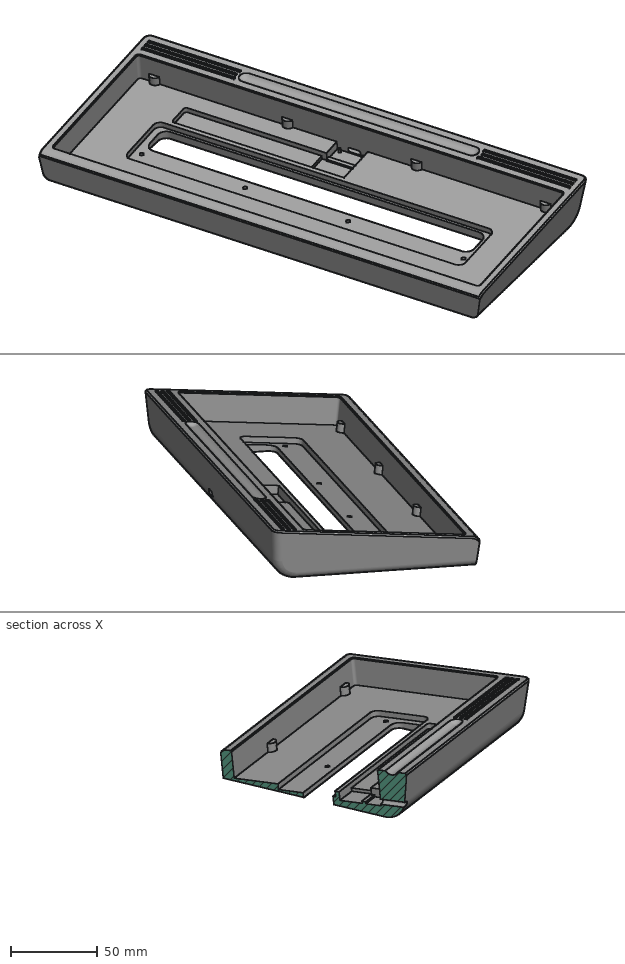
import cadquery as cq
import math

OVERALL_WIDTH = 297.5
OVERALL_LENGTH = 123.5
OVERALL_HEIGHT = 31.2
TILT = math.radians(6)
WALL_TAPER = math.radians(10)
BLANK_DEPTH = 41.7

CORNER_RADIUS = 4.8
HEEL_RADIUS = 13.5
FRONT_ROUND_LENGTH = 4.8
FRONT_ROUND_DROP = 1.93
RIM_CHAMFER = 1.05
FRONT_CHAMFER = 0.5

CHAMFER_INSET = RIM_CHAMFER * math.tan(WALL_TAPER)
RIM_WIDTH = OVERALL_WIDTH + 2 * CHAMFER_INSET
FRONT_LEAN = (FRONT_ROUND_DROP + FRONT_CHAMFER) * math.sin(TILT)
BACK_LEAN = RIM_CHAMFER * math.sin(TILT)
RIM_LENGTH = (OVERALL_LENGTH + FRONT_LEAN - BACK_LEAN) / math.cos(TILT) + CHAMFER_INSET
FRONT_HEIGHT = OVERALL_HEIGHT - (RIM_LENGTH - RIM_CHAMFER) * math.sin(TILT)

CAVITY_DEPTH = 17.3
CAVITY_HALF_WIDTH = 143.5
CAVITY_FRONT = 7.7
CAVITY_BACK = 104.7
CAVITY_RADIUS = 1.8
MOUTH_CHAMFER = 0.5

POST_RADIUS = 3.5
POST_HEIGHT = 5.5
POST_SETBACK = 1.0
FRONT_POST_XS = (-130.3, -43.5, 43.5, 130.3)
BACK_POST_XS = (-133.0, -43.5, 43.5, 130.3)

RECESS_DEPTH = 3.5
RECESS_HALF_WIDTH = 113.7
RECESS_FRONT = 37.0
RECESS_BACK = 74.7
RECESS_RADIUS = 4.5
WINDOW_HALF_WIDTH = 109.2
WINDOW_FRONT = 53.3
WINDOW_BACK = 73.0
WINDOW_RADIUS = 5.5
SCREW_DIAMETER = 2.53
SCREW_XS = (-108.3, -38.7, 30.5, 108.3)
SCREW_V = 47.5

POCKET_LEFT = -105.5
POCKET_RIGHT = 10.5
POCKET_FRONT = 77.7
POCKET_BACK = 92.8
POCKET_DEPTH = 3.3
POCKET_RADIUS = 1.8
DEEP_LEFT = -13.7
DEEP_DEPTH = 5.5
PASSAGE_HALF_WIDTH = 10.5
RIDGE_FRONT = 92.2
RIDGE_BACK = 95.0
RIDGE_HEIGHT = 1.2
PIN_DIAMETER = 1.65
PIN_HEIGHT = 2.5
PIN_X = 7.7
PIN_V = 103.0
PORT_X = 1.2
PORT_WIDTH = 8.3
PORT_HEIGHT = 3.0
PORT_LIFT = 1.0

PEN_V = 114.2
PEN_RADIUS = 5.0
PEN_HALF_WIDTH = 4.2
PEN_CHAMFER = 0.5
PEN_HALF_LENGTH = 80.3
SIDE_GROOVE_OUTER_X = 144.0
SIDE_GROOVE_INNER_X = 81.8
SIDE_GROOVE_MIDDLE_GAP = 1.0
SIDE_GROOVE_WIDTH = 1.8
SIDE_GROOVE_PITCH = 3.5
SIDE_GROOVE_DEPTH = 1.0


def to_part(solid):
    """Move a solid from rim coordinates to the part's axes."""
    return solid.rotate((0, 0, 0), (1, 0, 0), math.degrees(TILT)).translate((0, 0, FRONT_HEIGHT))


def pocket(x_min, x_max, v_min, v_max, top, depth, radius=0.0):
    """Box with rounded upright edges, reaching down from w = top."""
    block = cq.Workplane("XY").box(x_max - x_min, v_max - v_min, depth, centered=False)
    if radius > 0:
        block = block.edges("|Z").fillet(radius)
    return block.translate((x_min, v_min, top - depth))


def make_shell():
    """Outer body: tapered at the sides and back, square to the rim at the front."""
    inset = BLANK_DEPTH * math.tan(WALL_TAPER)
    half = RIM_WIDTH / 2
    front_outline = (
        cq.Workplane("XZ")
        .polyline([(-half, 0), (half, 0), (half - inset, -BLANK_DEPTH), (inset - half, -BLANK_DEPTH)])
        .close()
        .extrude(-RIM_LENGTH)
    )
    front_round_radius = (FRONT_ROUND_LENGTH**2 + FRONT_ROUND_DROP**2) / (2 * FRONT_ROUND_DROP)
    side_outline = (
        cq.Workplane("YZ")
        .moveTo(0, -BLANK_DEPTH)
        .lineTo(0, -FRONT_ROUND_DROP)
        .radiusArc((FRONT_ROUND_LENGTH, 0), front_round_radius)
        .lineTo(RIM_LENGTH, 0)
        .lineTo(RIM_LENGTH - inset, -BLANK_DEPTH)
        .close()
        .extrude(half, both=True)
    )
    above_ground = cq.Workplane("XY").box(
        2 * RIM_WIDTH, 3 * RIM_LENGTH, 2 * OVERALL_HEIGHT, centered=(True, True, False)
    )
    body = to_part(front_outline.intersect(side_outline)).intersect(above_ground)

    body = body.faces("<Z").edges(">Y").fillet(HEEL_RADIUS)
    back_corners = cq.selectors.BoxSelector(
        (-RIM_WIDTH, CAVITY_BACK, RIM_CHAMFER), (RIM_WIDTH, 2 * RIM_LENGTH, OVERALL_HEIGHT)
    )
    body = body.edges(back_corners).edges("not |X").fillet(CORNER_RADIUS)

    rim_normal = cq.Vector(0, -math.sin(TILT), math.cos(TILT))
    rim = body.faces(cq.selectors.DirectionMinMaxSelector(rim_normal))
    body = rim.edges("not(|X and <Y)").chamfer(RIM_CHAMFER)
    front_edge = cq.selectors.NearestToPointSelector((0, 0, FRONT_HEIGHT - FRONT_ROUND_DROP))
    body = body.edges(front_edge).chamfer(FRONT_CHAMFER)
    return body


def make_cavity():
    """Cavity with a small chamfer around its mouth and posts left standing on its floor."""
    cavity = pocket(
        -CAVITY_HALF_WIDTH, CAVITY_HALF_WIDTH, CAVITY_FRONT, CAVITY_BACK, 0, CAVITY_DEPTH, CAVITY_RADIUS
    )
    mouth = (
        cq.Workplane("XY")
        .center(0, (CAVITY_FRONT + CAVITY_BACK) / 2)
        .sketch()
        .rect(2 * (CAVITY_HALF_WIDTH + MOUTH_CHAMFER), CAVITY_BACK - CAVITY_FRONT + 2 * MOUTH_CHAMFER)
        .vertices()
        .fillet(CAVITY_RADIUS + MOUTH_CHAMFER)
        .finalize()
        .extrude(-2 * MOUTH_CHAMFER, taper=45)
    )
    cavity = cavity.union(mouth)
    spots = [(x, CAVITY_FRONT) for x in FRONT_POST_XS]
    spots += [(x, CAVITY_BACK + POST_SETBACK) for x in BACK_POST_XS]
    posts = (
        cq.Workplane("XY")
        .workplane(offset=-CAVITY_DEPTH)
        .pushPoints(spots)
        .circle(POST_RADIUS)
        .extrude(POST_HEIGHT)
    )
    return cavity.cut(posts)


def make_window():
    """Window through the floor, inside a shallow recess with screw holes through it."""
    floor = -CAVITY_DEPTH
    recess = pocket(
        -RECESS_HALF_WIDTH, RECESS_HALF_WIDTH, RECESS_FRONT, RECESS_BACK, floor, RECESS_DEPTH, RECESS_RADIUS
    )
    window = pocket(
        -WINDOW_HALF_WIDTH, WINDOW_HALF_WIDTH, WINDOW_FRONT, WINDOW_BACK, floor, BLANK_DEPTH, WINDOW_RADIUS
    )
    screws = (
        cq.Workplane("XY")
        .workplane(offset=floor - RECESS_DEPTH)
        .pushPoints([(x, SCREW_V) for x in SCREW_XS])
        .circle(SCREW_DIAMETER / 2)
        .extrude(-BLANK_DEPTH)
    )
    return recess.union(window).union(screws)


def make_cable_pocket():
    """Stepped pocket in the floor, leading over a low ridge to a port through the back wall."""
    floor = -CAVITY_DEPTH
    shallow = pocket(
        POCKET_LEFT, POCKET_RIGHT, POCKET_FRONT, POCKET_BACK, floor, POCKET_DEPTH, POCKET_RADIUS
    )
    deep = pocket(DEEP_LEFT, POCKET_RIGHT, POCKET_FRONT, POCKET_BACK, floor, DEEP_DEPTH)
    passage = pocket(
        -PASSAGE_HALF_WIDTH, PASSAGE_HALF_WIDTH, POCKET_BACK, CAVITY_BACK, floor, DEEP_DEPTH
    )
    ridge = pocket(
        -PASSAGE_HALF_WIDTH,
        PASSAGE_HALF_WIDTH,
        RIDGE_FRONT,
        RIDGE_BACK,
        floor - DEEP_DEPTH + RIDGE_HEIGHT,
        RIDGE_HEIGHT,
    )
    pins = (
        cq.Workplane("XY")
        .workplane(offset=floor - DEEP_DEPTH)
        .pushPoints([(-PIN_X, PIN_V), (PIN_X, PIN_V)])
        .circle(PIN_DIAMETER / 2)
        .extrude(PIN_HEIGHT)
    )
    port = (
        cq.Workplane("XZ", origin=(PORT_X, CAVITY_BACK, floor - DEEP_DEPTH + PORT_LIFT + PORT_HEIGHT / 2))
        .slot2D(PORT_WIDTH, PORT_HEIGHT)
        .extrude(-RIM_LENGTH)
    )
    return shallow.union(deep).union(passage).cut(pins).cut(ridge).union(port)


def make_pen_groove():
    """Shallow round-ended trough, with a chamfer around its mouth."""
    straight = PEN_HALF_LENGTH - PEN_HALF_WIDTH
    trough_half_width = PEN_HALF_WIDTH - PEN_CHAMFER
    axis_height = math.sqrt(PEN_RADIUS**2 - trough_half_width**2)
    trough = cq.Workplane("YZ").center(PEN_V, axis_height).circle(PEN_RADIUS).extrude(straight, both=True)
    for end in (-straight, straight):
        trough = trough.union(cq.Workplane("XY").sphere(PEN_RADIUS).translate((end, PEN_V, axis_height)))
    trough = trough.translate((0, 0, -PEN_CHAMFER))
    mouth = (
        cq.Workplane("XY")
        .center(0, PEN_V)
        .slot2D(2 * PEN_HALF_LENGTH, 2 * PEN_HALF_WIDTH)
        .extrude(-PEN_CHAMFER, taper=45)
    )
    below_mouth = pocket(-RIM_WIDTH, RIM_WIDTH, 0, RIM_LENGTH, -PEN_CHAMFER, BLANK_DEPTH)
    return trough.intersect(below_mouth).union(mouth)


def make_side_grooves():
    """Three grooves on each side; the middle ones start further from the pen groove."""
    grooves = cq.Workplane("XY")
    for row in (-1, 0, 1):
        inner = SIDE_GROOVE_INNER_X + (SIDE_GROOVE_MIDDLE_GAP if row == 0 else 0)
        v = PEN_V + row * SIDE_GROOVE_PITCH
        half_width = SIDE_GROOVE_WIDTH / 2
        slot = pocket(inner, SIDE_GROOVE_OUTER_X, v - half_width, v + half_width, 0, SIDE_GROOVE_DEPTH)
        grooves = grooves.add(slot).add(slot.mirror("YZ"))
    return grooves.combine()


result = make_shell()
for cutter in (make_cavity(), make_window(), make_cable_pocket(), make_pen_groove(), make_side_grooves()):
    result = result.cut(to_part(cutter))